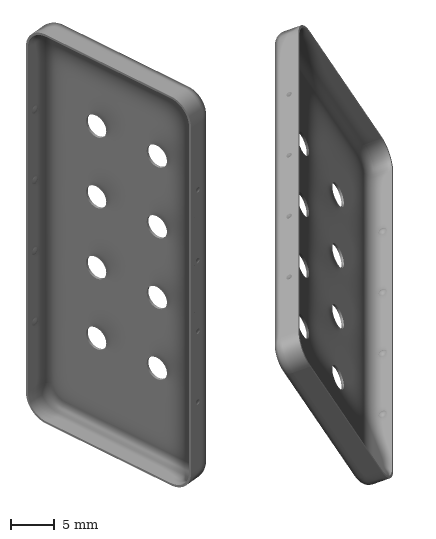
import cadquery as cq
import math

width = 24.5
depth = 3.5
height = 55.0
corner_radius = 3.0

sheet = 0.3
floor_edge_radius = 1.3

hole_diameter = 3.0
hole_columns = 2
hole_rows = 4
column_spacing = 9.0
row_spacing = 10.0

dimple_radius = 0.35
bump_radius = 0.5
dimple_depth = 0.15
dimple_rim_distance = 1.2

rim_y = -depth / 2
floor_y = depth / 2
dimple_y = rim_y + dimple_rim_distance


def centered_positions(count, spacing):
    """Evenly spaced coordinates, symmetric about zero."""
    return [(i - (count - 1) / 2) * spacing for i in range(count)]


row_heights = centered_positions(hole_rows, row_spacing)
column_offsets = centered_positions(hole_columns, column_spacing)


def rounded_block(inset):
    """Block with rounded corners and floor edge, inset from the outer skin; flush with the rim."""
    block = (
        cq.Workplane("XZ", origin=(0, rim_y, 0))
        .rect(width - 2 * inset, height - 2 * inset)
        .extrude(-(depth - inset))
        .edges("|Y")
        .fillet(corner_radius - inset)
    )
    return block.faces(">Y").edges().fillet(floor_edge_radius - inset)


def floor_holes():
    """Cylinders that pierce the floor at every grid position."""
    centers = [(x, z) for x in column_offsets for z in row_heights]
    return (
        cq.Workplane("XZ", origin=(0, floor_y, 0))
        .pushPoints(centers)
        .circle(hole_diameter / 2)
        .extrude(depth / 2)
    )


def spherical_cap(side, skin_x, z, base_radius):
    """Spherical cap standing on the plane |x| = skin_x and pointing to the middle of the tray."""
    tip_x = skin_x - dimple_depth
    sphere_radius = (base_radius**2 + dimple_depth**2) / (2 * dimple_depth)
    center_x = tip_x + sphere_radius
    half_angle = math.asin(base_radius / sphere_radius) / 2
    arc_mid_x = center_x - sphere_radius * math.cos(half_angle)
    arc_mid_y = sphere_radius * math.sin(half_angle)
    return (
        cq.Workplane("XY", origin=(0, dimple_y, z))
        .moveTo(side * skin_x, 0)
        .lineTo(side * skin_x, base_radius)
        .threePointArc((side * arc_mid_x, arc_mid_y), (side * tip_x, 0))
        .close()
        .revolve(360, (0, 0, 0), (1, 0, 0))
    )


def add_dimples(tray):
    """Raise a cap on the inside of each side wall and sink a smaller one of equal depth outside."""
    outer_x = width / 2
    inner_x = outer_x - sheet
    for side in (-1, 1):
        for z in row_heights:
            tray = tray.union(spherical_cap(side, inner_x, z, bump_radius))
            tray = tray.cut(spherical_cap(side, outer_x, z, dimple_radius))
    return tray


tray = rounded_block(0).cut(rounded_block(sheet))
tray = tray.cut(floor_holes())
result = add_dimples(tray)